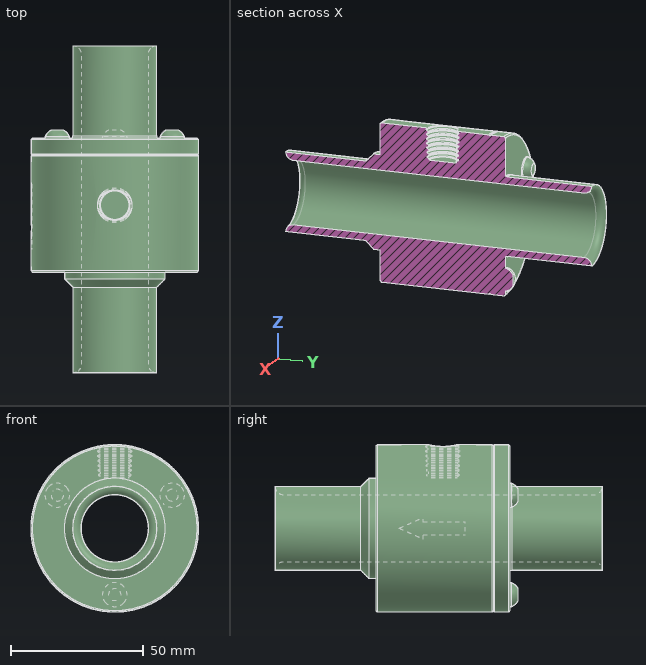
import cadquery as cq
import math

INCH = 25.4

body_diameter = 2.5 * INCH
pipe_diameter = 1.25 * INCH
bore_diameter = 1.0 * INCH
collar_diameter = 1.5 * INCH

cap_pipe_length = 1.375 * INCH
cap_thickness = 0.25 * INCH
barrel_length = 1.75 * INCH
barrel_pipe_length = 1.5 * INCH

collar_land = 0.1 * INCH
edge_chamfer = 0.6
joint_chamfer = 0.4
pipe_root_ring_height = 0.7
pipe_root_ring_step = 0.15

body_radius = body_diameter / 2
pipe_radius = pipe_diameter / 2
bore_radius = bore_diameter / 2
collar_radius = collar_diameter / 2

total_length = cap_pipe_length + cap_thickness + barrel_length + barrel_pipe_length
cap_mouth_y = total_length / 2
cap_face_y = cap_mouth_y - cap_pipe_length
joint_y = cap_face_y - cap_thickness
barrel_face_y = joint_y - barrel_length
barrel_mouth_y = barrel_face_y - barrel_pipe_length
body_center_y = (cap_face_y + barrel_face_y) / 2

screw_count = 3
screw_circle_radius = 25.1
first_screw_angle = 30
screw_head_diameter = 9.2
screw_rim_height = 0.5
screw_top_diameter = 4.6
screw_head_height = 3.1

port_floor_diameter = 10.8
port_taper = 1 / 32
port_pitch = 1.8
port_depth = 0.5 * INCH
thread_height = 0.8
thread_crest_width = port_pitch / 4
thread_root_width = port_pitch / 8

arrow_tail_y = 10.0
arrow_shaft_length = 16.0
arrow_head_length = 9.0
arrow_shaft_width = 5.0
arrow_head_width = 8.0
arrow_depth = 0.5


def make_turned_body():
    """Pipes, cap and barrel as one turned solid, still without the bore."""
    collar_cone = collar_radius - pipe_radius
    profile = (
        cq.Workplane("XY")
        .moveTo(0, barrel_mouth_y)
        .lineTo(pipe_radius, barrel_mouth_y)
        .lineTo(pipe_radius, barrel_face_y - collar_land - collar_cone)
        .lineTo(collar_radius, barrel_face_y - collar_land)
        .lineTo(collar_radius, barrel_face_y)
        .lineTo(body_radius - edge_chamfer, barrel_face_y)
        .lineTo(body_radius, barrel_face_y + edge_chamfer)
        .lineTo(body_radius, joint_y - joint_chamfer)
        .lineTo(body_radius - joint_chamfer, joint_y)
        .lineTo(body_radius, joint_y + joint_chamfer)
        .lineTo(body_radius, cap_face_y - edge_chamfer)
        .lineTo(body_radius - edge_chamfer, cap_face_y)
        .lineTo(pipe_radius + pipe_root_ring_step, cap_face_y)
        .lineTo(pipe_radius + pipe_root_ring_step, cap_face_y + pipe_root_ring_height)
        .lineTo(pipe_radius, cap_face_y + pipe_root_ring_height)
        .lineTo(pipe_radius, cap_mouth_y)
        .lineTo(0, cap_mouth_y)
        .close()
    )
    return profile.revolve(360, (0, 0, 0), (0, 1, 0))


def make_bore():
    """Through bore whose mouths are rounded across the whole pipe wall."""
    wall = pipe_radius - bore_radius
    arc_inset = wall * (1 - math.sqrt(0.5))
    profile = (
        cq.Workplane("XY")
        .moveTo(0, barrel_mouth_y)
        .lineTo(pipe_radius, barrel_mouth_y)
        .threePointArc(
            (bore_radius + arc_inset, barrel_mouth_y + arc_inset),
            (bore_radius, barrel_mouth_y + wall),
        )
        .lineTo(bore_radius, cap_mouth_y - wall)
        .threePointArc(
            (bore_radius + arc_inset, cap_mouth_y - arc_inset),
            (pipe_radius, cap_mouth_y),
        )
        .lineTo(0, cap_mouth_y)
        .close()
    )
    return profile.revolve(360, (0, 0, 0), (0, 1, 0))


def make_screw_head():
    """Domed button head standing on the cap face at the flow axis."""
    head_radius = screw_head_diameter / 2
    top_radius = screw_top_diameter / 2
    dome_height = screw_head_height - screw_rim_height
    center = (top_radius**2 + dome_height**2 - head_radius**2) / (2 * dome_height)
    dome_radius = math.hypot(head_radius, center)
    rim_angle = math.atan2(-center, head_radius)
    top_angle = math.atan2(dome_height - center, top_radius)
    mid_angle = (rim_angle + top_angle) / 2
    rim_y = cap_face_y + screw_rim_height
    dome_mid = (
        dome_radius * math.cos(mid_angle),
        rim_y + center + dome_radius * math.sin(mid_angle),
    )
    profile = (
        cq.Workplane("XY")
        .moveTo(0, cap_face_y)
        .lineTo(head_radius, cap_face_y)
        .lineTo(head_radius, rim_y)
        .threePointArc(dome_mid, (top_radius, rim_y + dome_height))
        .lineTo(0, rim_y + dome_height)
        .close()
    )
    return profile.revolve(360, (0, 0, 0), (0, 1, 0))


def add_screw_heads(part):
    head = make_screw_head()
    for index in range(screw_count):
        angle = math.radians(first_screw_angle + index * 360 / screw_count)
        offset = (
            screw_circle_radius * math.cos(angle),
            0,
            screw_circle_radius * math.sin(angle),
        )
        part = part.union(head.translate(offset))
    return part


def make_port():
    """Blind tapered hole; the thread is modelled as equally spaced ring grooves."""

    def crest_radius(height):
        return port_floor_diameter / 2 + height * port_taper

    flank_height = (port_pitch - thread_crest_width - thread_root_width) / 2
    groove_count = math.ceil(port_depth / port_pitch)
    top_height = groove_count * port_pitch
    floor_z = body_radius - port_depth

    profile = cq.Workplane("XZ").lineTo(crest_radius(0), 0)
    for index in range(groove_count):
        crest_end = index * port_pitch + thread_crest_width
        root_start = crest_end + flank_height
        root_end = root_start + thread_root_width
        next_crest = root_end + flank_height
        profile = (
            profile.lineTo(crest_radius(crest_end), crest_end)
            .lineTo(crest_radius(root_start) + thread_height, root_start)
            .lineTo(crest_radius(root_end) + thread_height, root_end)
            .lineTo(crest_radius(next_crest), next_crest)
        )
    profile = profile.lineTo(0, top_height).close()
    port = profile.revolve(360, (0, 0, 0), (0, 1, 0))
    return port.translate((0, body_center_y, floor_z))


def make_arrow():
    """Flat-bottomed arrow pocket pointing from the cap towards the barrel mouth."""
    head_y = arrow_tail_y - arrow_shaft_length
    tip_y = head_y - arrow_head_length
    return (
        cq.Workplane("YZ", origin=(-body_radius, 0, 0))
        .moveTo(arrow_tail_y, arrow_shaft_width / 2)
        .lineTo(head_y, arrow_shaft_width / 2)
        .lineTo(head_y, arrow_head_width / 2)
        .lineTo(tip_y, 0)
        .lineTo(head_y, -arrow_head_width / 2)
        .lineTo(head_y, -arrow_shaft_width / 2)
        .lineTo(arrow_tail_y, -arrow_shaft_width / 2)
        .close()
        .extrude(arrow_depth)
    )


body = make_turned_body().cut(make_bore())
body = add_screw_heads(body)
result = body.cut(make_port()).cut(make_arrow())